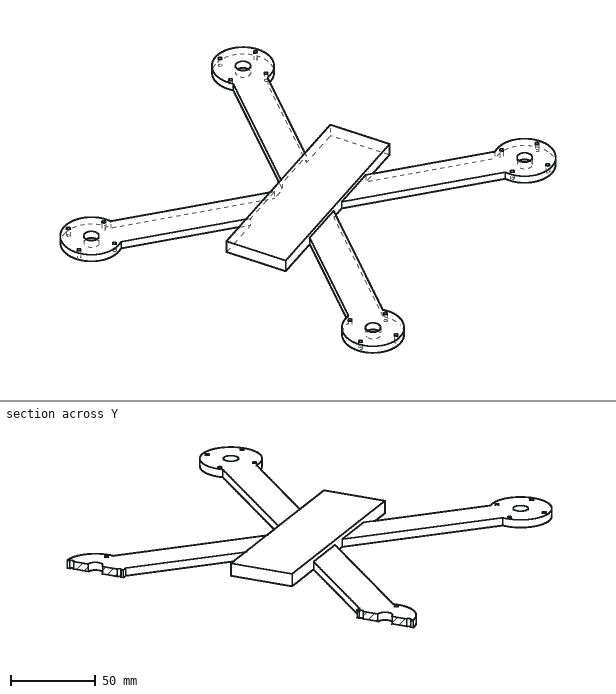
import cadquery as cq
import math

motor_reach = 134.0
arm_edge_crossing = 15.0
arm_width = arm_edge_crossing * math.sqrt(2)
arm_thickness = 5.0
arm_angles = (45, 135, 225, 315)
pad_diameter = 37.0

shaft_hole_diameter = 9.0
screw_hole_diameter = 2.2
screw_circle_diameter = 31.0
screw_count = 4

plate_width = 40.0
plate_length = 130.0
plate_thickness = 8.0


def motor_center(angle):
    """XY position of the motor centre at the end of an arm."""
    return (
        motor_reach * math.cos(math.radians(angle)),
        motor_reach * math.sin(math.radians(angle)),
    )


def make_arm(angle):
    """Straight bar from the frame centre to its round motor pad."""
    bar = (
        cq.Workplane("XY")
        .center(motor_reach / 2, 0)
        .rect(motor_reach, arm_width)
        .extrude(arm_thickness)
        .rotate((0, 0, 0), (0, 0, 1), angle)
    )
    pad = (
        cq.Workplane("XY")
        .center(*motor_center(angle))
        .circle(pad_diameter / 2)
        .extrude(arm_thickness)
    )
    return bar.union(pad)


def make_plate():
    """Rectangular centre plate."""
    return (
        cq.Workplane("XY")
        .rect(plate_width, plate_length)
        .extrude(plate_thickness)
    )


def make_motor_holes(angle):
    """Shaft hole and screw holes, the screws lined up with X and Y."""
    pad_plane = cq.Workplane("XY").center(*motor_center(angle))
    shaft_hole = pad_plane.circle(shaft_hole_diameter / 2).extrude(arm_thickness)
    screw_holes = (
        pad_plane
        .polarArray(screw_circle_diameter / 2, 0, 360, screw_count)
        .circle(screw_hole_diameter / 2)
        .extrude(arm_thickness)
    )
    return shaft_hole.union(screw_holes)


result = make_plate()
for arm_angle in arm_angles:
    result = result.union(make_arm(arm_angle))
for arm_angle in arm_angles:
    result = result.cut(make_motor_holes(arm_angle))